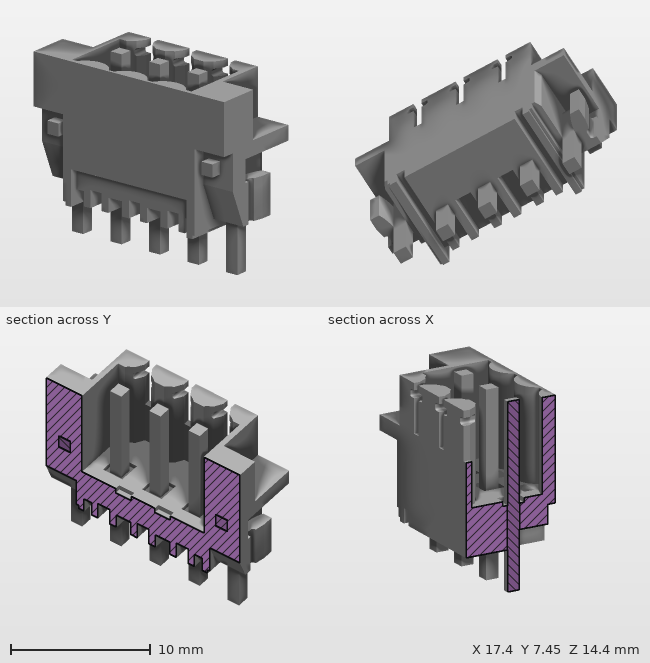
import cadquery as cq
import math


length = 17.35
depth = 7.45
total_height = 14.45
housing_top = 14.26
half_length = length / 2
front_y = -depth / 2
back_y = depth / 2

pitch = 3.5
contact_count = 3
contact_xs = [(i - (contact_count - 1) / 2) * pitch for i in range(contact_count)]
gap_xs = [(a + b) / 2 for a, b in zip(contact_xs, contact_xs[1:])]
anchor_x = contact_xs[-1] + pitch
pin_size = 1.0
pin_y = -0.23
pin_front_y = pin_y - pin_size / 2
pin_back_y = pin_y + pin_size / 2
anchor_top = 9.23
anchor_stub_bottom = anchor_top - pin_size
anchor_tip_y = -3.61
bend_inner_radius = 0.4
bend_outer_radius = bend_inner_radius + pin_size

core_half = 5.99
upper_core_half = 5.88
core_bottom = 3.2
foot_step_top = 3.49
foot_half = 5.78

shoulder_back_y = -0.36
flange_top = 10.43
flange_bottom = anchor_top

bracket_bottom = 4.16
notch_top = 10.08
notch_y = -2.72
slope_top = 7.15
slope_foot_y = -1.51
block_back_y = -1.23
arm_top = 7.4
side_wall_x = anchor_x - pin_size / 2
side_wall_chamfer_x = 0.26
side_wall_chamfer_y = 0.52

arm_inner_x = anchor_x + pin_size / 2
arm_groove_floor_x = 8.22
arm_groove_front_y = -0.88
arm_groove_back_y = -0.09
arm_groove_fillet = 0.2
arm_hump_x = 8.52
arm_flat_y = 0.71
arm_end_y = 1.61
arm_end_inner_x = 7.93
arm_curve_mid = (7.69, 1.0)
ledge_y = -0.83
ledge_edge_z = 7.72
ledge_top = 8.03

cavity_half = 5.43
cavity_front_y = -3.38
cavity_back_y = 2.13
cavity_floor = 6.94
scallop_land_y = -3.5
scallop_radius = 1.7
scallop_crest_y = -2.59
key_radius = 1.85
key_center_y = 0.83
key_corner_half = 0.73
slot_half = 0.33
slot_inner_y = 3.21
slot_floor = flange_top
slot_groove_bottom = 13.1
slot_groove_top = 13.7
slot_groove_half = 0.85
slot_groove_fillet = 0.2

socket_size = 1.74
socket_depth = 0.35
latch_width = 1.35
latch_front_y = scallop_crest_y
latch_ramp_foot_y = -2.19
latch_back_y = -1.74
latch_depth = latch_ramp_foot_y - latch_front_y

recess_half = 5.25
recess_top = 6.05
recess_back_y = -3.07
comb_half = 4.58
comb_notch_top = 4.35
comb_notch_width = 1.27
pin_slot_top = 4.56


def box(x_range, y_range, z_range):
    """Box between the given pairs of limits."""
    (x0, x1), (y0, y1), (z0, z1) = x_range, y_range, z_range
    return cq.Workplane("XY").box(x1 - x0, y1 - y0, z1 - z0, centered=False).translate((x0, y0, z0))


def extrude_along_x(outline, x_start, x_end):
    """Solid between two X values from a closed outline of (Y, Z) points."""
    return cq.Workplane("YZ").polyline(outline).close().extrude(x_end - x_start).translate((x_start, 0, 0))


def contact_pin(x):
    """Straight contact that passes through the cavity floor."""
    half = pin_size / 2
    return box((x - half, x + half), (pin_front_y, pin_back_y), (0, total_height))


def anchor_pin():
    """Right-angled anchor pin of the +X end."""
    return (
        cq.Workplane("YZ")
        .moveTo(pin_back_y, 0)
        .lineTo(pin_back_y, anchor_top - bend_outer_radius)
        .radiusArc((pin_back_y - bend_outer_radius, anchor_top), -bend_outer_radius)
        .lineTo(anchor_tip_y, anchor_top)
        .lineTo(anchor_tip_y, anchor_stub_bottom)
        .lineTo(pin_front_y - bend_inner_radius, anchor_stub_bottom)
        .radiusArc((pin_front_y, anchor_stub_bottom - bend_inner_radius), bend_inner_radius)
        .lineTo(pin_front_y, 0)
        .close()
        .extrude(pin_size)
        .translate((anchor_x - pin_size / 2, 0, 0))
    )


def core():
    """Central block, slightly narrower at the top, with its stepped foot."""
    upper = box((-upper_core_half, upper_core_half), (front_y, back_y), (flange_bottom, housing_top))
    lower = box((-core_half, core_half), (front_y, back_y), (foot_step_top, flange_bottom))
    foot = box((-foot_half, foot_half), (front_y, back_y), (core_bottom, foot_step_top))
    return upper.union(lower).union(foot)


def shoulder():
    """Tall front shoulder and low rear flange of the +X end."""
    tall = box((0, half_length), (front_y, shoulder_back_y), (flange_bottom, housing_top))
    flange = box((0, half_length), (shoulder_back_y, back_y), (flange_bottom, flange_top))
    notch = box((core_half, half_length), (front_y, notch_y), (flange_bottom, notch_top))
    return tall.union(flange).cut(notch)


def bracket_block():
    """Block with a sloped front that carries the stub of the +X anchor pin."""
    outline = [
        (block_back_y, flange_bottom),
        (notch_y, flange_bottom),
        (notch_y, slope_top),
        (slope_foot_y, bracket_bottom),
        (block_back_y, bracket_bottom),
    ]
    return extrude_along_x(outline, 0, half_length)


def side_wall():
    """Thicker core wall behind the +X block, chamfered at its rear corner."""
    outline = [
        (0, block_back_y),
        (side_wall_x, block_back_y),
        (side_wall_x, back_y - side_wall_chamfer_y),
        (side_wall_x - side_wall_chamfer_x, back_y),
        (0, back_y),
    ]
    wall = cq.Workplane("XY").polyline(outline).close().extrude(flange_bottom - bracket_bottom)
    return wall.translate((0, 0, bracket_bottom))


def spring_arm():
    """Arm that runs back from the +X block and closes the outer side of the anchor pin channel."""
    arm = (
        cq.Workplane("XY")
        .moveTo(side_wall_x, block_back_y)
        .lineTo(half_length, block_back_y)
        .lineTo(half_length, arm_groove_front_y)
        .lineTo(arm_groove_floor_x + arm_groove_fillet, arm_groove_front_y)
        .radiusArc((arm_groove_floor_x, arm_groove_front_y + arm_groove_fillet), arm_groove_fillet)
        .lineTo(arm_groove_floor_x, arm_groove_back_y - arm_groove_fillet)
        .radiusArc((arm_groove_floor_x + arm_groove_fillet, arm_groove_back_y), arm_groove_fillet)
        .lineTo(arm_hump_x, arm_groove_back_y)
        .lineTo(half_length, arm_flat_y)
        .lineTo(half_length, arm_end_y)
        .lineTo(arm_end_inner_x, arm_end_y)
        .threePointArc(arm_curve_mid, (arm_inner_x, pin_back_y))
        .lineTo(arm_inner_x, ledge_y)
        .lineTo(side_wall_x, ledge_y)
        .close()
        .extrude(arm_top - bracket_bottom)
    )
    return arm.translate((0, 0, bracket_bottom))


def bend_ledge():
    """Bevelled ledge under the bend of the +X anchor pin."""
    outline = [
        (block_back_y, arm_top),
        (ledge_y, arm_top),
        (ledge_y, ledge_edge_z),
        (block_back_y, ledge_top),
    ]
    return extrude_along_x(outline, side_wall_x, arm_inner_x)


def end_bracket():
    """Everything that widens the core at the +X end, with the channel and hole for the anchor pin."""
    parts = shoulder().union(bracket_block()).union(side_wall())
    return parts.union(spring_arm()).union(bend_ledge()).cut(anchor_pin())


def scallop_ribs(height):
    """Rounded ribs on the front wall of the cavity, one in front of each contact."""
    centers = [(x, scallop_crest_y - scallop_radius) for x in contact_xs]
    ribs = cq.Workplane("XY").pushPoints(centers).circle(scallop_radius).extrude(height)
    return ribs.intersect(box((-cavity_half, cavity_half), (front_y, cavity_back_y), (0, height)))


def key_recess(x, height):
    """Recess in the rear wall behind a contact: a round mouth, then a funnel up to the slot."""
    mouth_half = math.sqrt(key_radius**2 - (cavity_back_y - key_center_y) ** 2)
    corner_y = key_center_y + math.sqrt(key_radius**2 - key_corner_half**2)
    recess = (
        cq.Workplane("XY")
        .moveTo(-mouth_half, cavity_back_y)
        .radiusArc((-key_corner_half, corner_y), key_radius)
        .lineTo(-slot_half, slot_inner_y)
        .lineTo(slot_half, slot_inner_y)
        .lineTo(key_corner_half, corner_y)
        .radiusArc((mouth_half, cavity_back_y), key_radius)
        .close()
        .extrude(height)
    )
    return recess.translate((x, 0, 0))


def plug_cavity():
    """Volume of the cavity above its floor."""
    height = housing_top - cavity_floor
    cavity = box((-cavity_half, cavity_half), (cavity_front_y, cavity_back_y), (0, height))
    land_half = pitch * (contact_count - 1) / 2
    cavity = cavity.union(box((-land_half, land_half), (scallop_land_y, cavity_back_y), (0, height)))
    cavity = cavity.cut(scallop_ribs(height))
    for x in contact_xs:
        cavity = cavity.union(key_recess(x, height))
    return cavity.translate((0, 0, cavity_floor))


def rear_slot(x):
    """Slot through the rear wall behind a contact, crossed by a wider groove with rounded corners."""
    slot = box((x - slot_half, x + slot_half), (slot_inner_y, back_y), (slot_floor, housing_top))
    groove_x = (x - slot_groove_half, x + slot_groove_half)
    groove = box(groove_x, (cavity_back_y, back_y), (slot_groove_bottom, slot_groove_top))
    return slot.union(groove.edges("|Y").fillet(slot_groove_fillet))


def contact_socket(x):
    """Square sink in the cavity floor around a contact."""
    half = socket_size / 2
    y_range = (pin_y - half, pin_y + half)
    return box((x - half, x + half), y_range, (cavity_floor - socket_depth, cavity_floor))


def latch_pocket(x):
    """Pocket in the cavity floor between two contacts, ramped at its front."""
    outline = [
        (latch_front_y, cavity_floor),
        (latch_ramp_foot_y, cavity_floor - latch_depth),
        (latch_back_y, cavity_floor - latch_depth),
        (latch_back_y, cavity_floor),
    ]
    return extrude_along_x(outline, x - latch_width / 2, x + latch_width / 2)


def underside_cuts():
    """Front recess, end slots, and the comb of notches below the floor."""
    cuts = box((-recess_half, recess_half), (front_y, recess_back_y), (core_bottom, recess_top))
    for x_range in ((-recess_half, -comb_half), (comb_half, recess_half)):
        cuts = cuts.union(box(x_range, (front_y, back_y), (core_bottom, comb_notch_top)))
    comb_y = (recess_back_y, pin_back_y)
    for x in gap_xs:
        x_range = (x - comb_notch_width / 2, x + comb_notch_width / 2)
        cuts = cuts.union(box(x_range, comb_y, (core_bottom, comb_notch_top)))
    for x in contact_xs:
        x_range = (x - pin_size / 2, x + pin_size / 2)
        cuts = cuts.union(box(x_range, comb_y, (core_bottom, pin_slot_top)))
    return cuts


def make_housing():
    """Moulded housing with holes for every pin."""
    bracket = end_bracket()
    body = core().union(bracket).union(bracket.mirror("YZ"))
    body = body.cut(plug_cavity()).cut(underside_cuts())
    for x in contact_xs:
        body = body.cut(rear_slot(x)).cut(contact_socket(x)).cut(contact_pin(x))
    for x in gap_xs:
        body = body.cut(latch_pocket(x))
    return body


housing = make_housing()
contacts = [contact_pin(x) for x in contact_xs]
anchors = [anchor_pin(), anchor_pin().mirror("YZ")]

result = cq.Compound.makeCompound(
    [housing.val(), *[pin.val() for pin in contacts], *[pin.val() for pin in anchors]]
)